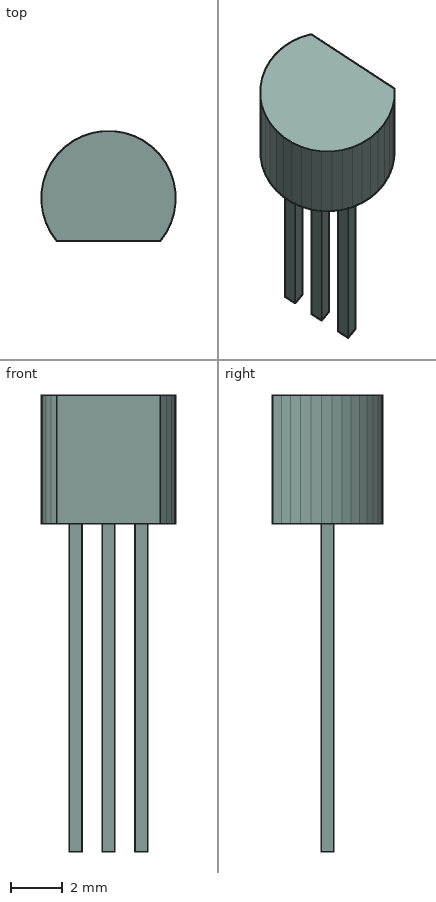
import cadquery as cq
import math

total_height = 17.7
body_width = 5.2
body_height = 5.0

facet_count = 29
front_corner_angle = 39.6

lead_side = 0.5
lead_pitch = 1.27
lead_count = 3

facet_angle = (180 + 2 * front_corner_angle) / facet_count
facet_reach = body_width / 2
corner_radius = facet_reach / math.cos(math.radians(facet_angle / 2))
flat_offset = corner_radius * math.sin(math.radians(front_corner_angle))
lead_length = total_height - body_height


def body_corner(index):
    """Corner of the body outline, counted from the right end of the front face."""
    angle = math.radians(index * facet_angle - front_corner_angle)
    return (corner_radius * math.cos(angle), corner_radius * math.sin(angle))


def make_body():
    """D-shaped prism with a flat front and a faceted round side."""
    corners = [body_corner(i) for i in range(facet_count + 1)]
    return cq.Workplane("XY").polyline(corners).close().extrude(body_height)


def make_leads():
    """Row of square leads below the body, centred in its depth."""
    lead_y = (facet_reach - flat_offset) / 2
    return (
        cq.Workplane("XY")
        .center(0, lead_y)
        .rarray(lead_pitch, 0.18, lead_count, 1)
        .rect(lead_side, lead_side)
        .extrude(-lead_length)
    )


result = make_body().union(make_leads())